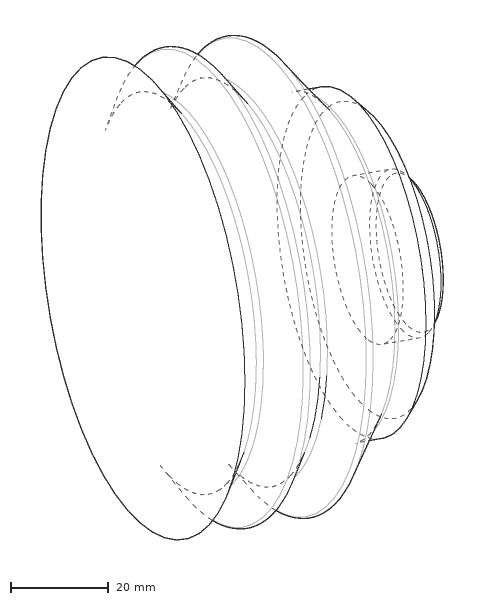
import cadquery as cq
import math


outer_radius = 50.0
total_length = 60.0

boss_radius = 35.0 / 2
boss_chamfer = 1.0
collar_radius = 73.0 / 2
collar_end = 50.5
collar_chamfer = 3.6

lower_valley_y = 7.0
lower_ridge_y = 14.1
upper_valley_y = 21.1
upper_ridge_y = 28.2
collar_start = 40.1

lower_valley_radius = 41.6
upper_valley_radius = 42.3

fold_rounding = 1.0
collar_root_rounding = 1.4

fold_slope = math.atan2(outer_radius - lower_valley_radius, lower_valley_y)
crease_setback = fold_rounding * (1 / math.cos(fold_slope) - 1)
sharp_ridge_radius = outer_radius + crease_setback


def revolved_body():
    """Body with sharp creases, turned from its half outline."""
    outline = [
        (0, 0),
        (outer_radius, 0),
        (lower_valley_radius - crease_setback, lower_valley_y),
        (sharp_ridge_radius, lower_ridge_y),
        (upper_valley_radius - crease_setback, upper_valley_y),
        (sharp_ridge_radius, upper_ridge_y),
        (collar_radius, collar_start),
        (collar_radius, collar_end - collar_chamfer),
        (collar_radius - collar_chamfer, collar_end),
        (boss_radius, collar_end),
        (boss_radius, total_length - boss_chamfer),
        (boss_radius - boss_chamfer, total_length),
        (0, total_length),
    ]
    return cq.Workplane("XY").polyline(outline).close().revolve(360, (0, 0, 0), (0, 1, 0))


def round_crease(body, crease_y, rounding):
    """Round the circular edge that lies at the axial position crease_y."""
    reach = 0.1
    low_corner = (-reach, crease_y - reach, -reach)
    high_corner = (reach, crease_y + reach, reach)
    crease = cq.selectors.BoxSelector(low_corner, high_corner)
    return body.edges("%CIRCLE").edges(crease).fillet(rounding)


result = revolved_body()
for fold_y in (lower_valley_y, lower_ridge_y, upper_valley_y, upper_ridge_y):
    result = round_crease(result, fold_y, fold_rounding)
result = round_crease(result, collar_start, collar_root_rounding)